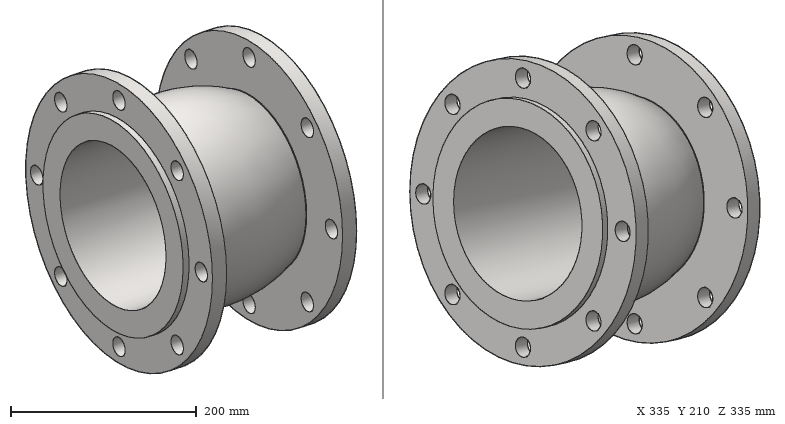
import cadquery as cq

length = 210.0
flange_diameter = 335.0
flange_thickness = 19.0
face_diameter = 251.2
face_height = 8.0
bore_diameter = 190.0

bulge_diameter = 241.2
neck_diameter = 206.5
neck_length = 1.0

hole_count = 8
hole_diameter = 22.0
bolt_circle_diameter = 295.0

flange_outer_y = length / 2 - face_height
flange_inner_y = flange_outer_y - flange_thickness
bulge_end_y = flange_inner_y - neck_length


def disc(diameter, start_y, end_y):
    """Solid cylinder on the Y axis between two Y positions."""
    return (
        cq.Workplane("XZ", origin=(0, end_y, 0))
        .circle(diameter / 2)
        .extrude(end_y - start_y)
    )


def bulging_body():
    """Barrel with an arc profile and a short straight neck at each flange."""
    return (
        cq.Workplane("XY")
        .moveTo(0, -flange_inner_y)
        .lineTo(neck_diameter / 2, -flange_inner_y)
        .lineTo(neck_diameter / 2, -bulge_end_y)
        .threePointArc((bulge_diameter / 2, 0), (neck_diameter / 2, bulge_end_y))
        .lineTo(neck_diameter / 2, flange_inner_y)
        .lineTo(0, flange_inner_y)
        .close()
        .revolve(360, (0, 0, 0), (0, 1, 0))
    )


def bolt_holes():
    """Ring of cylinders that pass through both flanges."""
    return (
        cq.Workplane("XZ", origin=(0, length / 2, 0))
        .polarArray(bolt_circle_diameter / 2, 0, 360, hole_count)
        .circle(hole_diameter / 2)
        .extrude(length)
    )


raised_face = disc(face_diameter, flange_outer_y, length / 2)
flange = disc(flange_diameter, flange_inner_y, flange_outer_y).cut(bolt_holes())
end = flange.union(raised_face)

body = bulging_body().union(end).union(end.mirror("XZ"))
result = body.cut(disc(bore_diameter, -length / 2, length / 2))